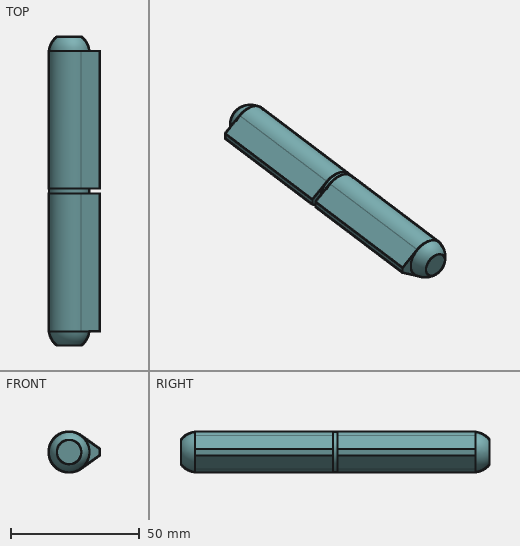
import cadquery as cq
import math

total_length = 120.0
barrel_radius = 8.0
wing_reach = 12.0
wing_tip_width = 2.5
ring_length = 1.8
pin_radius = 15.8 / 2
cap_length = 5.5
cap_face_radius = 4.75

half_length = total_length / 2
leaf_start = ring_length / 2
leaf_end = half_length - cap_length
leaf_length = leaf_end - leaf_start


def make_leaf(y_start):
    """Round barrel with a wing whose flanks leave the barrel tangentially."""
    half_tip = wing_tip_width / 2
    tip_distance = math.hypot(wing_reach, half_tip)
    tangent_angle = math.atan2(half_tip, wing_reach) + math.acos(barrel_radius / tip_distance)
    tangent_x = barrel_radius * math.cos(tangent_angle)
    tangent_z = barrel_radius * math.sin(tangent_angle)
    return (
        cq.Workplane("XZ", origin=(0, y_start, 0))
        .moveTo(wing_reach, -half_tip)
        .lineTo(wing_reach, half_tip)
        .lineTo(tangent_x, tangent_z)
        .threePointArc((-barrel_radius, 0), (tangent_x, -tangent_z))
        .close()
        .extrude(-leaf_length)
    )


def make_core():
    """Full-length pin: spacer ring diameter in the middle, rounded caps at the ends."""
    center_inset = (pin_radius**2 - cap_face_radius**2 - cap_length**2) / (2 * cap_length)
    sphere_radius = math.hypot(pin_radius, center_inset)
    arc_mid_height = cap_length / 2
    arc_mid_radius = math.sqrt(sphere_radius**2 - (center_inset + arc_mid_height) ** 2)
    arc_mid_y = leaf_end + arc_mid_height
    return (
        cq.Workplane("XY")
        .moveTo(0, -half_length)
        .lineTo(cap_face_radius, -half_length)
        .threePointArc((arc_mid_radius, -arc_mid_y), (pin_radius, -leaf_end))
        .lineTo(pin_radius, leaf_end)
        .threePointArc((arc_mid_radius, arc_mid_y), (cap_face_radius, half_length))
        .lineTo(0, half_length)
        .close()
        .revolve(360, (0, 0, 0), (0, 1, 0))
    )


result = make_core()
for leaf_y in (-leaf_end, leaf_start):
    result = result.union(make_leaf(leaf_y))